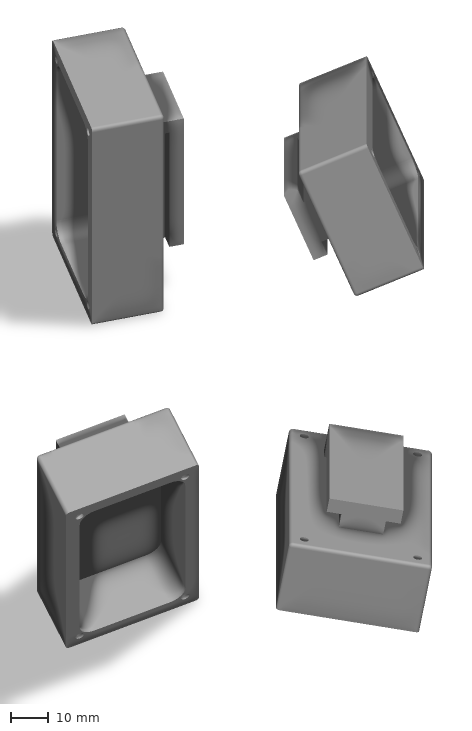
import cadquery as cq

rim_width = 4.0
cavity_width = 30.64
cavity_height = 60.64
shell_width = cavity_width + 2 * rim_width
shell_height = cavity_height + 2 * rim_width
shell_depth = 20.0
back_wall = 4.0
cavity_depth = shell_depth - back_wall
cavity_corner_radius = 4.32
outer_edge_radius = 1.0

screw_hole_diameter = 2.4

rail_width = 20.0
rail_length = 40.0
flange_thickness = 4.0
neck_height = 4.0
undercut_depth = 4.0
neck_width = rail_width - 2 * undercut_depth
rail_height = neck_height + flange_thickness
stop_thickness = 4.0


def box_from_y(width, height, y_start, depth, z_center=0.0):
    """Box centred on X, running from y_start towards +Y."""
    box = cq.Workplane("XY").box(width, depth, height, centered=(True, False, True))
    return box.translate((0, y_start, z_center))


def make_shell():
    body = box_from_y(shell_width, shell_height, 0, shell_depth)
    body = body.edges("|Y or >Y").fillet(outer_edge_radius)
    cavity = box_from_y(cavity_width, cavity_height, 0, cavity_depth)
    cavity = cavity.edges("|Y").fillet(cavity_corner_radius)
    return body.cut(cavity)


def make_screw_holes():
    return (
        cq.Workplane("XZ")
        .rect(cavity_width, cavity_height, forConstruction=True)
        .vertices()
        .circle(screw_hole_diameter / 2)
        .extrude(-shell_depth)
    )


def make_mounting_rail():
    neck = box_from_y(neck_width, rail_length, shell_depth, neck_height)
    flange = box_from_y(rail_width, rail_length, shell_depth + neck_height, flange_thickness)
    stop_center = (rail_length + stop_thickness) / 2
    stop = box_from_y(rail_width, stop_thickness, shell_depth, rail_height, stop_center)
    return neck.union(flange).union(stop)


result = make_shell().cut(make_screw_holes()).union(make_mounting_rail())